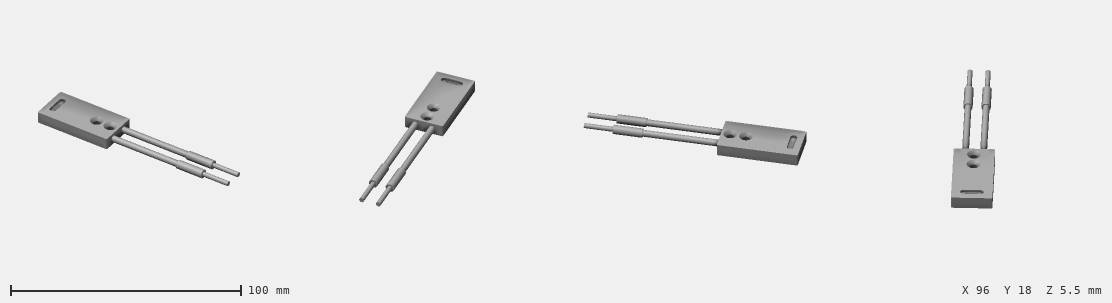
import cadquery as cq
import math

block_length = 36.0
block_width = 18.0
block_height = 5.5
corner_radius = 0.5
top_z = block_height / 2

hole_diameter = 3.2
countersink_diameter = 6.0
countersink_angle = 90
first_hole_x = 24.9
hole_pitch = 7.0

slot_x = 4.4
slot_width = 3.0
lens_spacing = 7.2
slot_depth = 1.2
lens_height = 0.5

lead_spacing = 7.9
cable_diameter = 3.0
sleeve_diameter = 4.0
sleeve_chamfer = 0.1
tip_diameter = 2.2
sleeve_start_x = 70.0
sleeve_length = 13.1
lead_end_x = 96.0


def make_block():
    block = cq.Workplane("XY").box(
        block_length, block_width, block_height, centered=(False, True, True)
    )
    return block.edges("|Z").fillet(corner_radius)


def cut_mounting_holes(body):
    centres = [(first_hole_x, 0), (first_hole_x + hole_pitch, 0)]
    return (
        body.faces(">Z").workplane(origin=(0, 0, top_z)).pushPoints(centres)
        .cskHole(hole_diameter, countersink_diameter, countersink_angle)
    )


def make_lens(y):
    rim_radius = slot_width / 2
    sphere_radius = (rim_radius**2 + lens_height**2) / (2 * lens_height)
    half_arc = math.asin(rim_radius / sphere_radius) / 2
    arc_middle = (
        sphere_radius * math.sin(half_arc),
        lens_height - sphere_radius * (1 - math.cos(half_arc)),
    )
    return (
        cq.Workplane("XZ", origin=(slot_x, y, top_z - slot_depth))
        .lineTo(0, lens_height)
        .threePointArc(arc_middle, (rim_radius, 0))
        .close()
        .revolve(360, (0, 0), (0, 1))
    )


def make_optics_slot(body):
    slot = (
        cq.Workplane("XY", origin=(slot_x, 0, top_z))
        .slot2D(lens_spacing + slot_width, slot_width, 90)
        .extrude(-slot_depth)
    )
    body = body.cut(slot)
    for side in (-1, 1):
        body = body.union(make_lens(side * lens_spacing / 2))
    return body


def make_rod(diameter, start_x, end_x, y):
    return (
        cq.Workplane("YZ", origin=(start_x, y, 0))
        .circle(diameter / 2)
        .extrude(end_x - start_x)
    )


def make_lead(y):
    sleeve_end_x = sleeve_start_x + sleeve_length
    cable = make_rod(cable_diameter, block_length, sleeve_start_x, y)
    sleeve = make_rod(sleeve_diameter, sleeve_start_x, sleeve_end_x, y)
    sleeve = sleeve.faces(">X").edges().chamfer(sleeve_chamfer)
    tip = make_rod(tip_diameter, sleeve_end_x, lead_end_x, y)
    return cable.union(sleeve).union(tip)


result = make_optics_slot(cut_mounting_holes(make_block()))
for side in (-1, 1):
    result = result.union(make_lead(side * lead_spacing / 2))